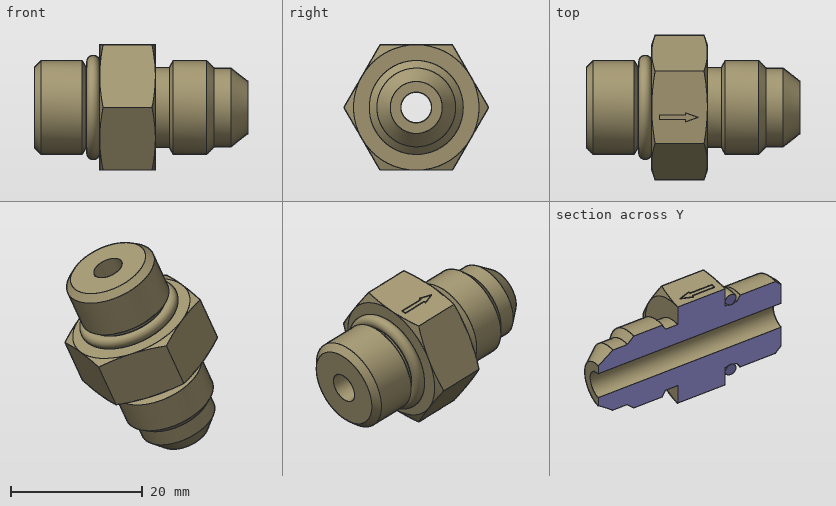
import cadquery as cq
import math


port_chamfer_end = 1.03
thread_end = 7.27
groove_start = 7.87
hex_start = 9.93
hex_length = 8.44
hex_end = hex_start + hex_length
neck_end = 20.5
collar_start = 21.07
collar_end = 26.15
nose_start = 27.3
cone_start = 29.87
overall_length = 32.46

thread_diameter = 14.28
port_face_diameter = 12.2
neck_diameter = 12.17
nose_diameter = 11.96
tip_diameter = 7.9
bore_diameter = 4.62

hex_across_flats = 19.05
hex_across_corners = hex_across_flats / math.cos(math.radians(30))
hex_chamfer_angle = 19.0

ring_inner_diameter = 11.89
ring_section_diameter = 1.98
groove_diameter = 12.29

arrow_start = hex_start + 1.21
arrow_center_y = -1.5
arrow_shaft_length = 3.92
arrow_shaft_width = 0.7
arrow_head_length = 1.92
arrow_head_width = 1.36
arrow_depth = 0.1


def revolve_about_x(profile):
    """Revolve a closed outline of (axial position, radius) points about the X axis."""
    return cq.Workplane("XY").polyline(profile).close().revolve(360, (0, 0, 0), (1, 0, 0))


def make_turned_core():
    """Port thread, O-ring groove, neck, collar and flared nose as one turned shape."""
    return revolve_about_x([
        (0, 0),
        (0, port_face_diameter / 2),
        (port_chamfer_end, thread_diameter / 2),
        (thread_end, thread_diameter / 2),
        (groove_start, groove_diameter / 2),
        (hex_start, groove_diameter / 2),
        (hex_start, neck_diameter / 2),
        (neck_end, neck_diameter / 2),
        (collar_start, thread_diameter / 2),
        (collar_end, thread_diameter / 2),
        (nose_start, nose_diameter / 2),
        (cone_start, nose_diameter / 2),
        (overall_length, tip_diameter / 2),
        (overall_length, 0),
    ])


def make_hexagon():
    """Wrench hexagon whose corners are turned down to the flats at both faces."""
    prism = (
        cq.Workplane("YZ", origin=(hex_start, 0, 0))
        .polygon(6, hex_across_corners)
        .extrude(hex_length)
    )
    face_radius = hex_across_flats / 2
    corner_radius = hex_across_corners / 2
    chamfer_length = (corner_radius - face_radius) * math.tan(math.radians(hex_chamfer_angle))
    chamfer_envelope = revolve_about_x([
        (hex_start, 0),
        (hex_start, face_radius),
        (hex_start + chamfer_length, corner_radius),
        (hex_end - chamfer_length, corner_radius),
        (hex_end, face_radius),
        (hex_end, 0),
    ])
    return prism.intersect(chamfer_envelope)


def make_arrow_cutter():
    """Arrow-shaped prism reaching from the top flat down to the engraving floor."""
    head_start = arrow_start + arrow_shaft_length
    tip = head_start + arrow_head_length
    shaft_half = arrow_shaft_width / 2
    head_half = arrow_head_width / 2
    return (
        cq.Workplane("XY", origin=(0, arrow_center_y, hex_across_flats / 2))
        .polyline([
            (arrow_start, -shaft_half),
            (head_start, -shaft_half),
            (head_start, -head_half),
            (tip, 0),
            (head_start, head_half),
            (head_start, shaft_half),
            (arrow_start, shaft_half),
        ])
        .close()
        .extrude(-arrow_depth)
    )


def make_body():
    """Fitting body with a straight bore from end to end and an arrow on its top flat."""
    bore = cq.Workplane("YZ").circle(bore_diameter / 2).extrude(overall_length)
    return make_turned_core().union(make_hexagon()).cut(bore).cut(make_arrow_cutter())


def make_o_ring():
    """Torus lying in the groove beside the hexagon."""
    section_radius = ring_section_diameter / 2
    center_x = hex_start - section_radius
    center_radius = ring_inner_diameter / 2 + section_radius
    return (
        cq.Workplane("XY")
        .center(center_x, center_radius)
        .circle(section_radius)
        .revolve(360, (0, -center_radius, 0), (1, -center_radius, 0))
    )


o_ring = make_o_ring()

body = make_body().cut(o_ring)

result = cq.Compound.makeCompound([body.solids().val(), o_ring.val()])